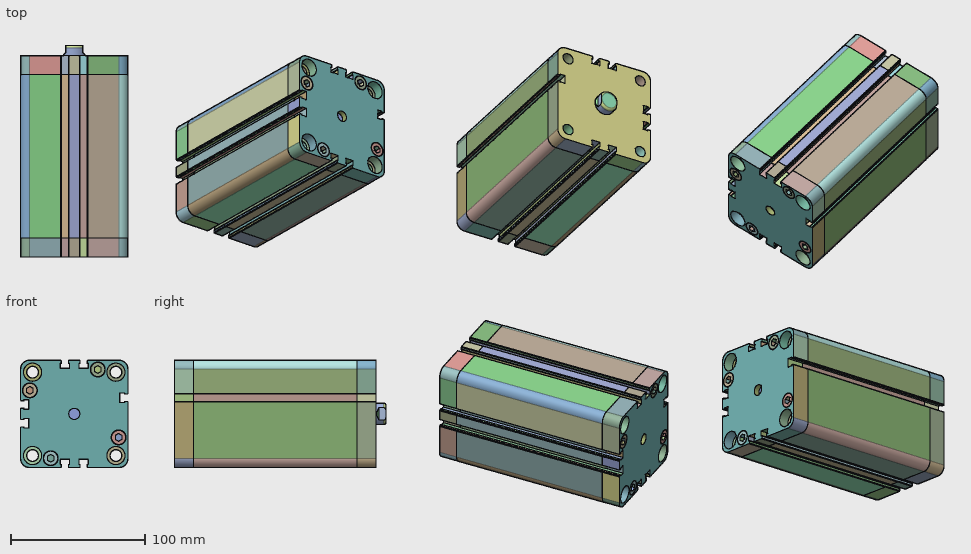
import cadquery as cq
import math

SIDE = 80.0
BODY_LENGTH = 150.0
CAP_LENGTH = 14.25
CORNER_RADIUS = 6.75
CAP_INSET = 0.1

PAIRED_SLOT_OFFSET = 7.0
SINGLE_SLOT_OFFSET = 12.0
PAIRED_SLOT_TURNS = (0, 180, 270)
SINGLE_SLOT_TURN = 90
SLOT_MOUTH = 5.3
SLOT_WIDTH = 6.8
SLOT_LIP = 2.5
SLOT_EDGE_CHAMFER = 0.5
CAP_SLOT_DEPTH = 6.3
BARREL_SLOT_DEPTH = 6.0

MOUNT_SPACING = 62.0
MOUNT_HOLE_DIAMETER = 8.57
MOUNT_BORE_DIAMETER = 13.5
MOUNT_BORE_DEPTH = 8.4

SCREW_NEAR = 17.5
SCREW_FAR = 33.0
SCREW_HEAD_DIAMETER = 10.5
SCREW_BORE_DIAMETER = 11.1
SCREW_BORE_DEPTH = 5.0
HEX_ACROSS_FLATS = 5.0
HEX_DEPTH = 4.5
HEX_TURN = 90

CENTRE_HOLE_DIAMETER = 8.25
CENTRE_HOLE_DEPTH = 4.5

ROD_DIAMETER = 16.0
ROD_LENGTH = 7.5
ROD_TIP_RADIUS = 1.8
ROD_ACROSS_FLATS = 13.0
ROD_FLAT_START = 2.2



def front_plane(y):
    """Sketch plane at depth y: local x is X, local y is Z, positive extrusion towards -Y."""
    return cq.Workplane("XZ", origin=(0, y, 0))


def turn_about_y(solid, angle):
    return solid.rotate((0, 0, 0), (0, 1, 0), angle)


def cylinders(points, diameter, y_start, length):
    return front_plane(y_start).pushPoints(points).circle(diameter / 2).extrude(-length)


def t_slot(offset, inset, depth, y_start, length):
    """T-slot cutter in the +Z side, with both edges of its mouth chamfered."""
    half_mouth = SLOT_MOUTH / 2
    half_width = SLOT_WIDTH / 2
    top = SIDE / 2
    surface = top - inset
    half_opening = half_mouth + SLOT_EDGE_CHAMFER
    right_half = [
        (half_width, top - depth),
        (half_width, top - SLOT_LIP),
        (half_mouth, top - SLOT_LIP),
        (half_mouth, surface - SLOT_EDGE_CHAMFER),
        (half_opening, surface),
    ]
    left_half = [(-x, z) for x, z in reversed(right_half)]
    points = [(offset + x, z) for x, z in right_half + left_half]
    return front_plane(y_start).polyline(points).close().extrude(-length)


def segment(y_start, length, inset, slot_depth):
    """One length of the slotted square profile: a cap or the barrel."""
    width = SIDE - 2 * inset
    solid = front_plane(y_start).rect(width, width).extrude(-length)
    solid = solid.edges("|Y").fillet(CORNER_RADIUS - inset)
    for turn in PAIRED_SLOT_TURNS:
        for offset in (-PAIRED_SLOT_OFFSET, PAIRED_SLOT_OFFSET):
            slot = t_slot(offset, inset, slot_depth, y_start, length)
            solid = solid.cut(turn_about_y(slot, turn))
    single = t_slot(-SINGLE_SLOT_OFFSET, inset, slot_depth, y_start, length)
    return solid.cut(turn_about_y(single, SINGLE_SLOT_TURN))


def body():
    front_cap = segment(0, CAP_LENGTH, CAP_INSET, CAP_SLOT_DEPTH)
    barrel = segment(CAP_LENGTH, BODY_LENGTH - 2 * CAP_LENGTH, 0, BARREL_SLOT_DEPTH)
    rear_cap = segment(BODY_LENGTH - CAP_LENGTH, CAP_LENGTH, CAP_INSET, CAP_SLOT_DEPTH)
    return front_cap.union(barrel).union(rear_cap)


def cut_mounting_holes(solid):
    half = MOUNT_SPACING / 2
    points = [(x, z) for x in (-half, half) for z in (-half, half)]
    solid = solid.cut(cylinders(points, MOUNT_HOLE_DIAMETER, 0, BODY_LENGTH))
    return solid.cut(cylinders(points, MOUNT_BORE_DIAMETER, 0, MOUNT_BORE_DEPTH))


def add_screws(solid):
    points = [
        (SCREW_NEAR, SCREW_FAR),
        (SCREW_FAR, -SCREW_NEAR),
        (-SCREW_NEAR, -SCREW_FAR),
        (-SCREW_FAR, SCREW_NEAR),
    ]
    solid = solid.cut(cylinders(points, SCREW_BORE_DIAMETER, 0, SCREW_BORE_DEPTH))
    solid = solid.union(cylinders(points, SCREW_HEAD_DIAMETER, 0, SCREW_BORE_DEPTH))
    hexagon_diameter = HEX_ACROSS_FLATS / math.cos(math.radians(30))
    for x, z in points:
        socket = front_plane(0).polygon(6, hexagon_diameter).extrude(-HEX_DEPTH)
        socket = turn_about_y(socket, HEX_TURN).translate((x, 0, z))
        solid = solid.cut(socket)
    return solid


def rod_end():
    rod = cylinders([(0, 0)], ROD_DIAMETER, BODY_LENGTH, ROD_LENGTH)
    rod = rod.faces(">Y").edges().fillet(ROD_TIP_RADIUS)
    tip = BODY_LENGTH + ROD_LENGTH
    flat_start = BODY_LENGTH + ROD_FLAT_START
    slope = (ROD_DIAMETER - ROD_ACROSS_FLATS) / 2
    for side in (-1, 1):
        flat_cut = (
            cq.Workplane("XY")
            .moveTo(side * ROD_ACROSS_FLATS / 2, tip)
            .lineTo(side * ROD_ACROSS_FLATS / 2, flat_start)
            .lineTo(side * ROD_DIAMETER / 2, flat_start - slope)
            .lineTo(side * ROD_DIAMETER / 2, tip)
            .close()
            .extrude(ROD_DIAMETER / 2, both=True)
        )
        rod = rod.cut(flat_cut)
    return rod


result = cut_mounting_holes(body())
result = add_screws(result)
result = result.cut(cylinders([(0, 0)], CENTRE_HOLE_DIAMETER, 0, CENTRE_HOLE_DEPTH))
result = result.union(rod_end())